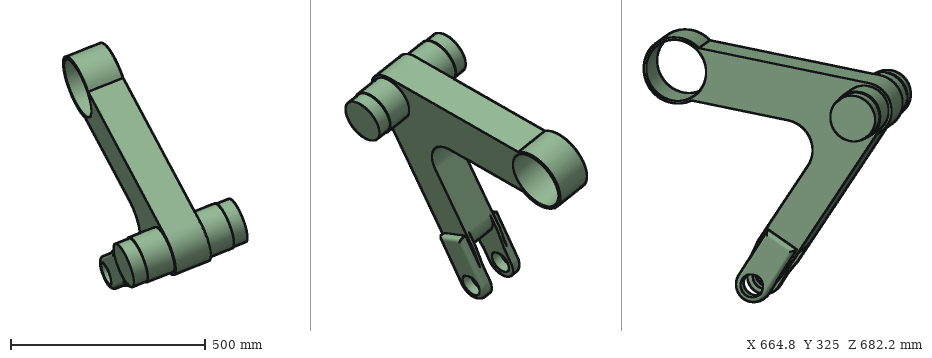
import cadquery as cq
import math


ring_diameter = 174.5
bore_diameter = 160.0

pivot_x, pivot_z = 507.5, -71.0
pivot_boss_radius = 70.0
shoulder_diameter = 125.0
shoulder_length = 246.0
pin_diameter = 120.0
pin_length = 325.0
pin_center_y = -3.0

arm_thickness = 100.0
upper_arm_width = 2 * pivot_boss_radius
lower_arm_width = 104.0
lower_arm_angle = 57.0
lower_arm_offset = -2.0
elbow_radius = 75.0

eye_x, eye_z = 209.0, -550.0
eye_diameter = 60.0
clevis_radius = 45.0
clevis_width = 140.5
slot_width = 80.0
plate_length = 144.5
plate_fillet = 10.0
arm_end_setback = 148.0
taper_start_left = 103.0
taper_start_right = 89.0
taper_end = 41.0

pivot = cq.Vector(pivot_x, pivot_z)
eye = cq.Vector(eye_x, eye_z)


def direction(angle):
    """Unit vector in the XZ plane, at an angle in degrees from +X."""
    return cq.Vector(math.cos(math.radians(angle)), math.sin(math.radians(angle)))


lower_axis = direction(lower_arm_angle)
lower_side = direction(lower_arm_angle - 90)


def on_lower_arm(along, across):
    """Point given by distances from the eye, up the arm and across to its right."""
    return eye + lower_axis * along + lower_side * across


def plane_at(y):
    """Workplane facing -Y, with local x along X and local y along Z."""
    return cq.Workplane("XZ", origin=(0, y, 0))


def polygon(points, thickness):
    """Flat plate of the given outline, centered on Y = 0."""
    outline = [(p.x, p.y) for p in points]
    return plane_at(0).polyline(outline).close().extrude(thickness / 2, both=True)


def cylinder(center, diameter, length, center_y=0):
    """Cylinder along Y."""
    disc = plane_at(center_y).center(center.x, center.y).circle(diameter / 2)
    return disc.extrude(length / 2, both=True)


def line_crossing(start, heading, other_start, other_heading):
    """Point where two lines of the XZ plane meet."""
    gap = other_start - start
    distance = gap.cross(other_heading).z / heading.cross(other_heading).z
    return start + heading * distance


def make_arms():
    """Two arms joined at the pivot, with a rounded inner elbow and rounded ends."""
    upper_axis = pivot.normalized()
    upper_side = cq.Vector(-upper_axis.y, upper_axis.x) * (upper_arm_width / 2)
    left = lower_arm_offset - lower_arm_width / 2
    right = lower_arm_offset + lower_arm_width / 2
    left_start = on_lower_arm(arm_end_setback, left)
    right_start = on_lower_arm(arm_end_setback, right)
    elbow = line_crossing(upper_side * -1, upper_axis, left_start, lower_axis)
    pivot_along = (pivot - eye).dot(lower_axis)
    outline = [
        upper_side,
        pivot + upper_side,
        pivot,
        on_lower_arm(pivot_along, right),
        right_start,
        left_start,
        elbow,
        upper_side * -1,
    ]
    arms = polygon(outline, arm_thickness)
    elbow_edge = cq.selectors.NearestToPointSelector((elbow.x, 0, elbow.y))
    arms = arms.edges("|Y").edges(elbow_edge).fillet(elbow_radius)
    arms = arms.union(cylinder(pivot, 2 * pivot_boss_radius, arm_thickness))
    end_center = on_lower_arm(arm_end_setback, lower_arm_offset)
    arms = arms.union(cylinder(end_center, lower_arm_width, arm_thickness))
    return arms, left, right


def make_cheeks(left, right):
    """Tapered arm sides that run down along both sides of the slot."""
    outline = [
        on_lower_arm(arm_end_setback, left),
        on_lower_arm(taper_start_left, left),
        on_lower_arm(taper_end, -clevis_radius),
        on_lower_arm(taper_end, clevis_radius),
        on_lower_arm(taper_start_right, right),
        on_lower_arm(arm_end_setback, right),
    ]
    return polygon(outline, arm_thickness).cut(polygon(outline, slot_width))


def make_clevis_plate():
    """Plate on the -Y side, aimed from the eye at the pivot, rounded on its outer face."""
    axis = (pivot - eye).normalized()
    side = cq.Vector(axis.y, -axis.x) * clevis_radius
    top = eye + axis * plate_length
    tip = eye - axis * clevis_radius
    plate = (
        plane_at(-slot_width / 2)
        .moveTo(*(top - side).toTuple()[:2])
        .lineTo(*(eye - side).toTuple()[:2])
        .threePointArc(tip.toTuple()[:2], (eye + side).toTuple()[:2])
        .lineTo(*(top + side).toTuple()[:2])
        .close()
        .extrude((clevis_width - slot_width) / 2)
    )
    return plate.faces("<Y").edges().fillet(plate_fillet)


arms, arm_left, arm_right = make_arms()
plate = make_clevis_plate()
result = (
    arms.union(make_cheeks(arm_left, arm_right))
    .union(plate)
    .union(plate.mirror("XZ"))
    .union(cylinder(cq.Vector(0, 0), ring_diameter, arm_thickness))
    .union(cylinder(pivot, shoulder_diameter, shoulder_length, pin_center_y))
    .union(cylinder(pivot, pin_diameter, pin_length, pin_center_y))
    .cut(cylinder(cq.Vector(0, 0), bore_diameter, arm_thickness))
    .cut(cylinder(eye, eye_diameter, clevis_width))
)